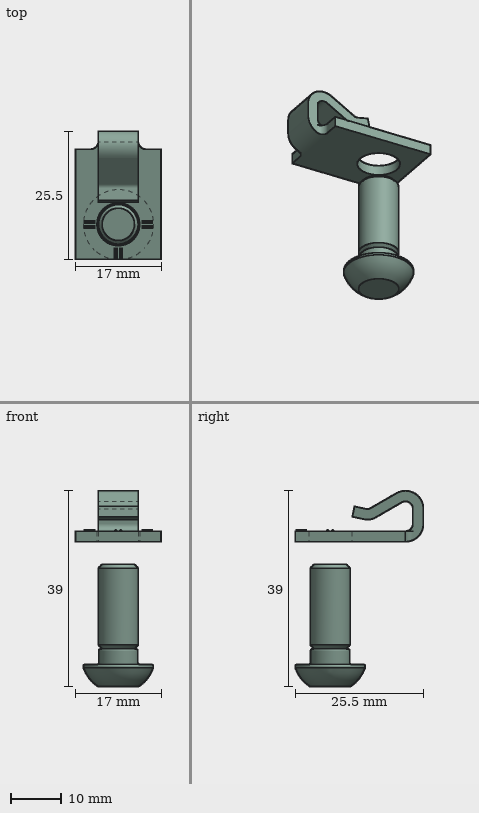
import cadquery as cq
import math


head_diameter = 13.95
head_height = 4.45
head_band_height = 0.65
head_edge_radius = 0.4
head_flat_radius = 4.0
shank_diameter = 8.0
neck_diameter = 7.83
neck_top_z = 7.5
neck_fillet = 0.3
neck_top_rounding = 0.4
groove_radius = 3.27
shank_start_z = 8.35
screw_top_z = 24.35
tip_chamfer = 0.78

overall_height = 38.95
clip_height = 10.15
thickness = 2.15
plate_width = 17.0
plate_front_y = -head_diameter / 2
overall_depth = 25.5
hole_diameter = 8.5
strip_width = 8.0
bend_inner_radius = 1.45
arm_angle = 30.0
arm_length = 6.05
tip_angle = 12.0
tip_length = 2.45
tip_bend_inner_radius = 1.0

ridge_start = 4.7
ridge_length = 2.05
ridge_width = 0.5
ridge_height = 0.25
ridge_spacing = 1.0

plate_bottom_z = overall_height - clip_height
plate_top_z = plate_bottom_z + thickness
bend_outer_radius = bend_inner_radius + thickness
plate_back_y = plate_front_y + overall_depth - bend_outer_radius
upright_length = clip_height - 2 * bend_outer_radius


def make_screw():
    """Dome-head screw, revolved from its half section."""
    head_radius = head_diameter / 2
    neck_radius = neck_diameter / 2
    shank_radius = shank_diameter / 2
    rim_z = head_height - head_band_height

    dome_center_z = (head_radius**2 + rim_z**2 - head_flat_radius**2) / (2 * rim_z)
    dome_radius = math.hypot(head_flat_radius, dome_center_z)
    dome_mid_z = rim_z / 2
    dome_mid_radius = math.sqrt(dome_radius**2 - (dome_center_z - dome_mid_z) ** 2)

    section = (
        cq.Workplane("XZ")
        .lineTo(head_flat_radius, 0)
        .threePointArc((dome_mid_radius, dome_mid_z), (head_radius, rim_z))
        .lineTo(head_radius, head_height - head_edge_radius)
        .tangentArcPoint((-head_edge_radius, head_edge_radius))
        .lineTo(neck_radius + neck_fillet, head_height)
        .tangentArcPoint((-neck_fillet, neck_fillet))
        .lineTo(neck_radius, neck_top_z - neck_top_rounding)
        .tangentArcPoint((-neck_top_rounding, neck_top_rounding))
        .lineTo(groove_radius, neck_top_z)
        .lineTo(shank_radius, shank_start_z)
        .lineTo(shank_radius, screw_top_z - tip_chamfer)
        .lineTo(shank_radius - tip_chamfer, screw_top_z)
        .lineTo(0, screw_top_z)
        .close()
    )
    return section.revolve(360, (0, 0, 0), (0, 1, 0))


def advance(point, heading, distance):
    """Point reached from (y, z) by going a distance along a heading in degrees."""
    angle = math.radians(heading)
    return (point[0] + distance * math.cos(angle), point[1] + distance * math.sin(angle))


def trace_edge(outline, point, heading, steps):
    """Draw the right-hand edge of the strip through its bends and straights.

    A step is (turn, inner radius) or a straight length; a positive turn is counter-clockwise.
    """
    for step in steps:
        if isinstance(step, tuple):
            turn, inner_radius = step
            radius = inner_radius + thickness if turn > 0 else inner_radius
            side = math.copysign(90, turn)
            center = advance(point, heading + side, radius)
            middle = advance(center, heading - side + turn / 2, radius)
            point = advance(center, heading - side + turn, radius)
            heading += turn
            outline = outline.threePointArc(middle, point)
        else:
            point = advance(point, heading, step)
            outline = outline.lineTo(*point)
    return outline, point, heading


def make_strip():
    """Bent strip: out along one edge, across the free end and back along the other edge."""
    steps = [
        (90, bend_inner_radius),
        upright_length,
        (90 + arm_angle, bend_inner_radius),
        arm_length,
        (-arm_angle - tip_angle, tip_bend_inner_radius),
        tip_length,
    ]
    return_steps = [(-step[0], step[1]) if isinstance(step, tuple) else step for step in reversed(steps)]

    start = (plate_back_y, plate_bottom_z)
    outline = cq.Workplane("YZ").moveTo(*start)
    outline, point, heading = trace_edge(outline, start, 0, steps)
    point = advance(point, heading + 90, thickness)
    outline = outline.lineTo(*point)
    outline, _, _ = trace_edge(outline, point, heading + 180, return_steps)
    return outline.close().extrude(strip_width / 2, both=True)


def make_corner_fillets():
    """Concave fillets between plate and strip, trimmed to the outside of the bend."""
    radius = bend_inner_radius
    half_strip = strip_width / 2
    arc_inset = radius * (1 - math.sqrt(0.5))
    bend_envelope = (
        cq.Workplane("YZ")
        .center(plate_back_y, plate_bottom_z + bend_outer_radius)
        .circle(bend_outer_radius)
        .extrude(plate_width / 2, both=True)
    )
    fillets = cq.Workplane("XY", origin=(0, plate_back_y, plate_bottom_z))
    for side in (-1, 1):
        fillets = (
            fillets.moveTo(side * (half_strip + radius), 0)
            .threePointArc((side * (half_strip + arc_inset), arc_inset), (side * half_strip, radius))
            .lineTo(side * half_strip, 0)
            .close()
        )
    return fillets.extrude(thickness).intersect(bend_envelope)


def make_ridge_pair(angle):
    """Two parallel triangular ridges pointing away from the hole at an angle."""
    pair = cq.Workplane("YZ", origin=(ridge_start, 0, plate_top_z))
    for center in (-ridge_spacing / 2, ridge_spacing / 2):
        pair = (
            pair.moveTo(center - ridge_width / 2, 0)
            .lineTo(center + ridge_width / 2, 0)
            .lineTo(center, ridge_height)
            .close()
        )
    return pair.extrude(ridge_length).rotate((0, 0, 0), (0, 0, 1), angle)


def make_clip():
    """Plate with a screw hole, bent strip and position ridges."""
    plate_depth = plate_back_y - plate_front_y
    clip = (
        cq.Workplane("XY", origin=(0, plate_front_y + plate_depth / 2, plate_bottom_z))
        .rect(plate_width, plate_depth)
        .extrude(thickness)
    )
    hole = cq.Workplane("XY", origin=(0, 0, plate_bottom_z)).circle(hole_diameter / 2).extrude(thickness)
    clip = clip.cut(hole)
    for angle in (0, 180, 270):
        clip = clip.union(make_ridge_pair(angle))
    return clip.union(make_strip()).union(make_corner_fillets())


screw = make_screw()
spring_clip = make_clip()

result = cq.Compound.makeCompound([screw.val(), *spring_clip.solids().vals()])